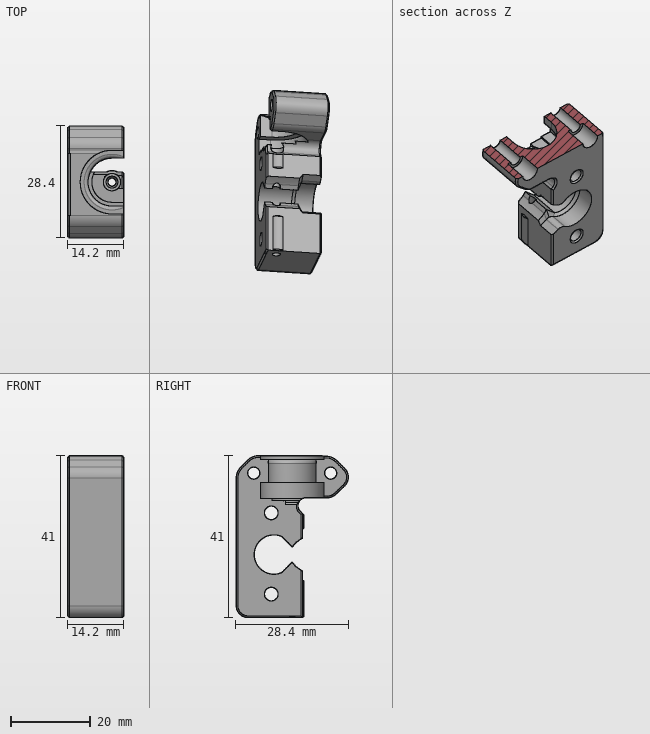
import cadquery as cq
import math

WIDTH = 14.2
HEIGHT = 41.0
FACE_Y = 16.8
EDGE_CHAMFER = 0.45
TOP_EDGE_CHAMFER = 0.65
FRONT_TOP_CHAMFER = 4.07
FRONT_TOP_RADIUS = 4.0
FRONT_BOTTOM_RADIUS = 3.0

ARM_BOTTOM_Z = 30.3
ARM_REAR_TOP_Z = 40.85
ARM_RAMP_START_Y = 21.4
ARM_RAMP_END_Y = 22.3
ARM_TOP_SUM = 65.2
ARM_NOSE_Y = 29.75
ARM_UPPER_RADIUS = 4.0
ARM_NOSE_RADIUS = 3.12
ARM_LOWER_CORNER_Y = 24.3
ARM_LOWER_RADIUS = 3.0

NOTCH_Y = 17.65
NOTCH_Z = 28.3
NOTCH_RADIUS = ARM_BOTTOM_Z - NOTCH_Z
NOTCH_LEG = NOTCH_RADIUS * math.sqrt(0.5)
NOTCH_END = (NOTCH_Y - NOTCH_LEG, NOTCH_Z - NOTCH_LEG)
NOTCH_SLOPE_SUM = sum(NOTCH_END)

AXIS_X = 11.2
AXIS_Y = 14.18
FILAMENT_DIAMETER = 2.0
FUNNEL_DIAMETER = 3.0
FUNNEL_DEPTH = 1.0
TUBE_DIAMETER = 4.4
TUBE_FLOOR_Z = 25.8
TUBE_SLOT_HALF_WIDTH = 1.65
TUBE_SLOT_DEPTH = 0.5
TUBE_SLOT_CHAMFER = 0.5
COLUMN_RADIUS = 2.93
COLUMN_CHAMFER = 0.3
COLUMN_GAP = 6.4

FLANGE_RADIUS = 8.05
NECK_RADIUS = 6.05
NECK_FILLET = 1.0
RIM_Z = 40.0
NECK_BOTTOM_Z = 34.2
FLANGE_FLOOR_Z = 30.1
RECESS_RADIUS = 5.1
RECESS_FLOOR_Z = 29.6

GEAR_Y = 9.55
GEAR_Z = 15.95
ENTRY_RADIUS = 5.5
ENTRY_DEPTH = 4.75
GEAR_RADIUS = 4.95
TAPER_DEPTH = 0.9
ENTRY_PEAK_Y = 14.0
ENTRY_PEAK = 4.0
ENTRY_PEAK_START_Y = 12.7
ENTRY_PEAK_END_Y = 14.9
ENTRY_MOUTH = 5.24
GUIDE_TIP = 1.87
GUIDE_CURVE = (15.9, 3.6)
GUIDE_CURVE_END = (14.9, 2.8)
GUIDE_MOUTH = 4.15
MOUTH_Y = FACE_Y + 1.0

SCREW_DIAMETER = 3.4
SCREW_MOUTH_DIAMETER = 4.2
SCREW_PLACES = [(8.88, 5.95), (8.88, 26.5)]
INSERT_DIAMETER = 4.7
INSERT_DEPTH = 6.0
INSERT_SCREW_DIAMETER = 3.0
INSERT_SPACING = 19.45
INSERT_Z = 36.55


def make_body():
    """Extruded side profile with rounded corners and chamfered side faces."""
    corners = [
        ((0, 0), FRONT_BOTTOM_RADIUS),
        ((0, HEIGHT - FRONT_TOP_CHAMFER), FRONT_TOP_RADIUS),
        ((FRONT_TOP_CHAMFER, HEIGHT), FRONT_TOP_RADIUS),
        ((ARM_TOP_SUM - ARM_REAR_TOP_Z, ARM_REAR_TOP_Z), ARM_UPPER_RADIUS),
        ((ARM_NOSE_Y, ARM_TOP_SUM - ARM_NOSE_Y), ARM_NOSE_RADIUS),
        ((ARM_LOWER_CORNER_Y, ARM_BOTTOM_Z), ARM_LOWER_RADIUS),
    ]
    points = [place for place, _ in corners]
    profile = (
        cq.Workplane("YZ")
        .moveTo(*points[0])
        .lineTo(*points[1])
        .lineTo(*points[2])
        .lineTo(ARM_RAMP_START_Y, HEIGHT)
        .lineTo(ARM_RAMP_END_Y, ARM_REAR_TOP_Z)
        .lineTo(*points[3])
        .lineTo(*points[4])
        .lineTo(*points[5])
        .lineTo(NOTCH_Y, ARM_BOTTOM_Z)
        .threePointArc((NOTCH_Y - NOTCH_RADIUS, NOTCH_Z), NOTCH_END)
        .lineTo(FACE_Y, NOTCH_SLOPE_SUM - FACE_Y)
        .lineTo(FACE_Y, 0)
        .close()
    )
    body = profile.extrude(WIDTH)
    for (y, z), radius in corners:
        body = body.edges(cq.selectors.NearestToPointSelector((WIDTH / 2, y, z))).fillet(radius)
    body = body.faces("<X or >X").chamfer(EDGE_CHAMFER)
    flat_start_y = FRONT_TOP_CHAMFER + FRONT_TOP_RADIUS * math.tan(math.pi / 8)
    top_edge = (
        cq.Workplane("XZ", origin=(0, flat_start_y, 0))
        .moveTo(0, HEIGHT)
        .lineTo(TOP_EDGE_CHAMFER, HEIGHT)
        .lineTo(0, HEIGHT - TOP_EDGE_CHAMFER)
        .close()
        .extrude(flat_start_y - ARM_RAMP_START_Y)
    )
    return body.cut(top_edge)


def make_notch():
    """Space under the arm: the round notch and everything above its slope."""
    notch_y, notch_z = NOTCH_END
    outer_y = AXIS_Y + 2 * COLUMN_RADIUS
    round_part = cq.Workplane("YZ").center(NOTCH_Y, NOTCH_Z).circle(NOTCH_RADIUS).extrude(WIDTH)
    slope_part = (
        cq.Workplane("YZ")
        .moveTo(notch_y, notch_z)
        .lineTo(outer_y, NOTCH_SLOPE_SUM - outer_y)
        .lineTo(outer_y, NOTCH_Z)
        .lineTo(NOTCH_Y, NOTCH_Z)
        .close()
        .extrude(WIDTH)
    )
    return round_part.union(slope_part)


def add_column(body):
    """Round wall around the filament path, broken at the drive gear gap."""
    notch = make_notch()
    spans = [(0, GEAR_Z - COLUMN_GAP), (GEAR_Z + COLUMN_GAP, NOTCH_Z)]
    for bottom, top in spans:
        wall = (
            cq.Workplane("XY", origin=(AXIS_X, AXIS_Y, bottom))
            .circle(COLUMN_RADIUS)
            .extrude(top - bottom)
            .edges()
            .chamfer(COLUMN_CHAMFER)
        )
        body = body.union(wall.cut(notch))
    return body


def axis_slot(radius, bottom, top):
    """Round pocket on the filament axis, running out through the +X side."""
    pocket = cq.Workplane("XY", origin=(AXIS_X, AXIS_Y, bottom)).circle(radius).extrude(top - bottom)
    run_out = (
        cq.Workplane("XY", origin=(AXIS_X, AXIS_Y, bottom))
        .move(0, -radius)
        .rect(WIDTH - AXIS_X, 2 * radius, centered=False)
        .extrude(top - bottom)
    )
    return pocket.union(run_out)


def cut_hot_end_seat(body):
    """Rim, neck with a rounded entry, flange groove and floor recess."""
    body = body.cut(axis_slot(FLANGE_RADIUS, RIM_Z, HEIGHT))
    body = body.cut(axis_slot(NECK_RADIUS, NECK_BOTTOM_Z, RIM_Z))
    body = body.cut(axis_slot(FLANGE_RADIUS, FLANGE_FLOOR_Z, NECK_BOTTOM_Z))
    body = body.cut(axis_slot(RECESS_RADIUS, RECESS_FLOOR_Z, FLANGE_FLOOR_Z))
    arc_leg = NECK_FILLET * (1 - math.sqrt(0.5))
    entry = (
        cq.Workplane("XZ", origin=(AXIS_X, AXIS_Y, 0))
        .moveTo(0, RIM_Z - NECK_FILLET)
        .lineTo(NECK_RADIUS, RIM_Z - NECK_FILLET)
        .threePointArc(
            (NECK_RADIUS + arc_leg, RIM_Z - arc_leg),
            (NECK_RADIUS + NECK_FILLET, RIM_Z),
        )
        .lineTo(0, RIM_Z)
        .close()
        .revolve(360, (0, 0, 0), (0, 1, 0))
    )
    return body.cut(entry)


def cut_filament_path(body):
    """Through hole with a funnel, a tube socket and a slot open to the +X side and the notch."""
    slot_floor_z = RECESS_FLOOR_Z - TUBE_SLOT_DEPTH
    slot_front_y = AXIS_Y - TUBE_SLOT_HALF_WIDTH
    hole = cq.Workplane("XY", origin=(AXIS_X, AXIS_Y, 0)).circle(FILAMENT_DIAMETER / 2).extrude(HEIGHT)
    funnel = (
        cq.Workplane("XY", origin=(AXIS_X, AXIS_Y, TUBE_FLOOR_Z))
        .circle(FUNNEL_DIAMETER / 2)
        .workplane(offset=-FUNNEL_DEPTH)
        .circle(FILAMENT_DIAMETER / 2)
        .loft(ruled=True)
    )
    socket = (
        cq.Workplane("XY", origin=(AXIS_X, AXIS_Y, TUBE_FLOOR_Z))
        .circle(TUBE_DIAMETER / 2)
        .extrude(RECESS_FLOOR_Z - TUBE_FLOOR_Z)
    )
    slot = (
        cq.Workplane("XZ", origin=(0, NOTCH_Y, 0))
        .moveTo(AXIS_X, RECESS_FLOOR_Z)
        .lineTo(AXIS_X, slot_floor_z)
        .lineTo(WIDTH - TUBE_SLOT_CHAMFER, slot_floor_z)
        .lineTo(WIDTH, slot_floor_z - TUBE_SLOT_CHAMFER)
        .lineTo(WIDTH, RECESS_FLOOR_Z)
        .close()
        .extrude(NOTCH_Y - slot_front_y)
    )
    return body.cut(hole).cut(funnel).cut(socket).cut(slot)


def draw_entry_gap(plane):
    """Outline of the wide bore with rounded peaks, in offsets from the gear axis height."""
    start_offset = ENTRY_PEAK_Y - ENTRY_PEAK_START_Y
    start = math.sqrt(ENTRY_RADIUS**2 - (ENTRY_PEAK_START_Y - GEAR_Y) ** 2)
    rise = start - ENTRY_PEAK
    peak_radius = (start_offset**2 + rise**2) / (2 * rise)

    def on_peak(y, side):
        drop = math.sqrt(peak_radius**2 - (y - ENTRY_PEAK_Y) ** 2)
        return (y, side * (ENTRY_PEAK + peak_radius - drop))

    outer_y = (ENTRY_PEAK_END_Y + ENTRY_PEAK_Y) / 2
    inner_y = (ENTRY_PEAK_START_Y + ENTRY_PEAK_Y) / 2
    return (
        plane.moveTo(MOUTH_Y, -ENTRY_MOUTH)
        .lineTo(MOUTH_Y, ENTRY_MOUTH)
        .lineTo(FACE_Y, ENTRY_MOUTH)
        .lineTo(*on_peak(ENTRY_PEAK_END_Y, 1))
        .threePointArc(on_peak(outer_y, 1), (ENTRY_PEAK_Y, ENTRY_PEAK))
        .threePointArc(on_peak(inner_y, 1), (ENTRY_PEAK_START_Y, start))
        .threePointArc((GEAR_Y - ENTRY_RADIUS, 0), (ENTRY_PEAK_START_Y, -start))
        .threePointArc(on_peak(inner_y, -1), (ENTRY_PEAK_Y, -ENTRY_PEAK))
        .threePointArc(on_peak(outer_y, -1), on_peak(ENTRY_PEAK_END_Y, -1))
        .lineTo(FACE_Y, -ENTRY_MOUTH)
        .close()
    )


def draw_guide_gap(plane):
    """Outline of the close bore with pointed filament guide tips."""
    flank_sum = AXIS_Y - GEAR_Y + GUIDE_TIP
    flank_end = (flank_sum + math.sqrt(2 * GEAR_RADIUS**2 - flank_sum**2)) / 2
    flank_y = GEAR_Y + flank_sum - flank_end
    curve_y, curve = GUIDE_CURVE
    end_y, end = GUIDE_CURVE_END
    return (
        plane.moveTo(MOUTH_Y, -GUIDE_MOUTH)
        .lineTo(MOUTH_Y, GUIDE_MOUTH)
        .lineTo(FACE_Y, GUIDE_MOUTH)
        .threePointArc((curve_y, curve), (end_y, end))
        .lineTo(AXIS_Y, GUIDE_TIP)
        .lineTo(flank_y, flank_end)
        .threePointArc((GEAR_Y - GEAR_RADIUS, 0), (flank_y, -flank_end))
        .lineTo(AXIS_Y, -GUIDE_TIP)
        .lineTo(end_y, -end)
        .threePointArc((curve_y, -curve), (FACE_Y, -GUIDE_MOUTH))
        .close()
    )


def cut_gear_bore(body):
    """Wide entry bore, tapering step and close bore through to the +X side."""
    guide_x = ENTRY_DEPTH + TAPER_DEPTH
    entry_plane = cq.Workplane("YZ", origin=(0, 0, GEAR_Z))
    step_plane = cq.Workplane("YZ", origin=(ENTRY_DEPTH, 0, GEAR_Z))
    guide_plane = cq.Workplane("YZ", origin=(guide_x, 0, GEAR_Z))
    entry = draw_entry_gap(entry_plane).extrude(ENTRY_DEPTH)
    taper = draw_guide_gap(draw_entry_gap(step_plane).workplane(offset=TAPER_DEPTH)).loft(ruled=True)
    guide = draw_guide_gap(guide_plane).extrude(WIDTH - guide_x)
    return body.cut(entry).cut(taper).cut(guide)


def side_hole(y, z, diameter, depth):
    """Cylinder entering the -X side."""
    return cq.Workplane("YZ", origin=(0, y, z)).circle(diameter / 2).extrude(depth)


def cut_screw_holes(body):
    """Two chamfered screw holes in the block and two insert holes in the arm."""
    mouth_depth = (SCREW_MOUTH_DIAMETER - SCREW_DIAMETER) / 2
    for y, z in SCREW_PLACES:
        mouth = (
            cq.Workplane("YZ", origin=(0, y, z))
            .circle(SCREW_MOUTH_DIAMETER / 2)
            .workplane(offset=mouth_depth)
            .circle(SCREW_DIAMETER / 2)
            .loft(ruled=True)
        )
        body = body.cut(side_hole(y, z, SCREW_DIAMETER, WIDTH)).cut(mouth)
    for side in (-1, 1):
        y = AXIS_Y + side * INSERT_SPACING / 2
        body = body.cut(side_hole(y, INSERT_Z, INSERT_SCREW_DIAMETER, WIDTH))
        body = body.cut(side_hole(y, INSERT_Z, INSERT_DIAMETER, INSERT_DEPTH))
    return body


result = make_body()
result = add_column(result)
result = cut_hot_end_seat(result)
result = cut_gear_bore(result)
result = cut_filament_path(result)
result = cut_screw_holes(result)